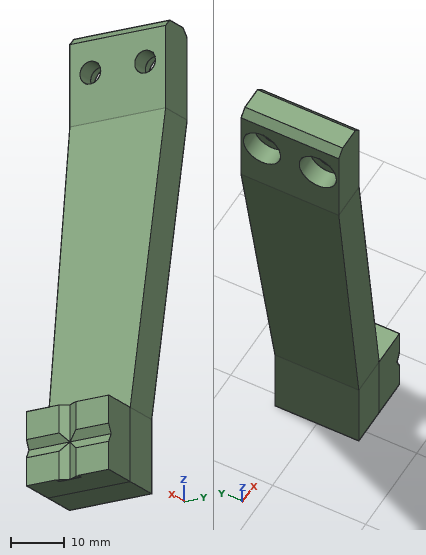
import cadquery as cq

total_height = 96.0
thickness = 8.0
head_width = 21.0
foot_width = 18.0
arm_offset = 10.6

lip_height = 0.1
foot_height = 14.9
head_height = 18.0
foot_bottom = lip_height
foot_top = foot_bottom + foot_height
head_bottom = total_height - head_height

head_chamfer = 1.5
hole_spacing = 12.0
hole_drop = 8.0
hole_diameter = 4.5
counterbore_diameter = 8.0
counterbore_depth = 4.0

groove_width = 3.6
groove_depth = 1.0
lip_length = 4.8
lip_thickness = 1.0
pad_back = arm_offset + thickness
pad_front = pad_back + thickness
pad_middle = foot_bottom + foot_height / 2


def block(x_start, z_start, width, height):
    """Block one thickness deep along X and centred on Y = 0."""
    return (
        cq.Workplane("XY")
        .box(thickness, width, height, centered=(False, True, False))
        .translate((x_start, 0, z_start))
    )


def make_head():
    head = block(0, head_bottom, head_width, head_height)
    head = head.faces(">Z").edges("|Y").chamfer(head_chamfer)
    return (
        head.faces("<X")
        .workplane(origin=(0, 0, total_height - hole_drop))
        .rarray(hole_spacing, 1, 2, 1)
        .cboreHole(hole_diameter, counterbore_diameter, counterbore_depth)
    )


def make_shank():
    """Slanted shank that widens from the foot up to the head."""
    return (
        cq.Workplane("XY", origin=(arm_offset + thickness / 2, 0, foot_top))
        .rect(thickness, foot_width)
        .workplane(offset=head_bottom - foot_top)
        .center(-arm_offset, 0)
        .rect(thickness, head_width)
        .loft(ruled=True)
    )


def make_arm():
    foot = block(arm_offset, foot_bottom, foot_width, foot_height)
    return foot.union(make_shank()).union(make_head())


def groove(plane, middle, length):
    """V-shaped cutter for a groove in the front face of the pad, running along the plane's normal."""
    half_width = groove_width / 2
    return (
        cq.Workplane(plane, origin=(pad_front, 0, middle))
        .moveTo(0, -half_width)
        .lineTo(-groove_depth, 0)
        .lineTo(0, half_width)
        .close()
        .extrude(length / 2, both=True)
    )


def make_pad():
    """Pad with crossed V grooves in its front face and a thin lip underneath."""
    pad = block(pad_back, foot_bottom, foot_width, foot_height)
    lip = (
        cq.Workplane("XY")
        .box(lip_thickness, lip_length, lip_height, centered=(False, True, False))
        .translate((pad_front - lip_thickness, 0, 0))
    )
    pad = pad.union(lip)
    pad = pad.cut(groove("XZ", pad_middle, foot_width))
    return pad.cut(groove("XY", pad_middle, 2 * total_height))


arm = make_arm()
pad = make_pad()

result = cq.Compound.makeCompound([arm.val(), pad.val()])